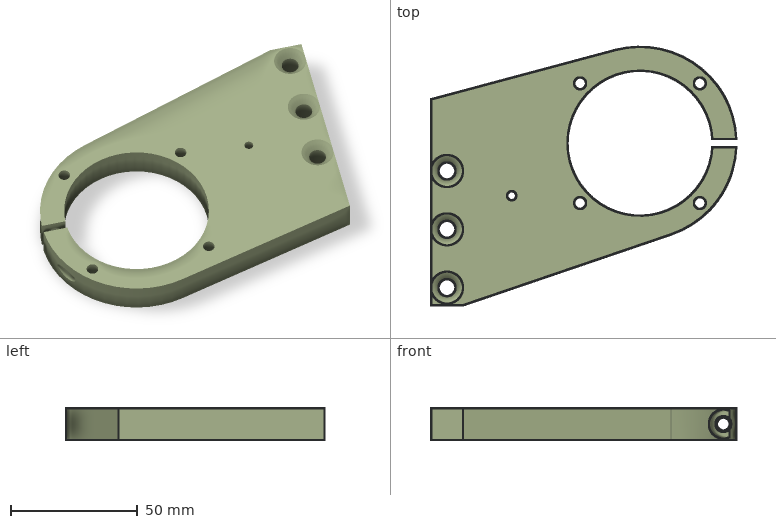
import cadquery as cq
import math

length = 120.5
width = 102.1
thickness = 12.7
ring_radius = 38.1
bore_diameter = 57.1
slot_width = 3.1
ring_x = length - ring_radius
ring_y = width - ring_radius
left_edge_height = 81.4
bottom_edge_length = 12.7

mount_x = 6.3
mount_first_y = 7.0
mount_pitch = 23.0
mount_count = 3
mount_diameter = 6.6
countersink_diameter = 12.7
countersink_angle = 90

pin_x = 31.8
pin_y = 43.3
pin_diameter = 3.5
ring_hole_spacing = 47.3
ring_hole_diameter = 4.6

screw_x = 115.4
screw_z = thickness / 2
screw_head_diameter = 11.5
screw_head_seat_y = 49.5
screw_clearance_diameter = 6.3
screw_thread_diameter = 5.1


def ring_point(angle):
    """Point on the outer ring at an angle in radians from +X."""
    return (ring_x + ring_radius * math.cos(angle), ring_y + ring_radius * math.sin(angle))


def tangent_angle(point, side):
    """Ring angle where a line from the point touches it; side picks one of the two tangents."""
    dx = point[0] - ring_x
    dy = point[1] - ring_y
    return math.atan2(dy, dx) + side * math.acos(ring_radius / math.hypot(dx, dy))


def make_plate():
    """Plate with two straight edges running tangentially into the ring."""
    lower_corner = (bottom_edge_length, 0)
    upper_corner = (0, left_edge_height)
    return (
        cq.Workplane("XY")
        .moveTo(0, 0)
        .lineTo(*lower_corner)
        .lineTo(*ring_point(tangent_angle(lower_corner, 1)))
        .threePointArc(ring_point(0), ring_point(tangent_angle(upper_corner, -1)))
        .lineTo(*upper_corner)
        .close()
        .extrude(thickness)
    )


def cut_clamp_opening(body):
    """Cut the bore and the slot that splits the ring on its +X side."""
    bore = cq.Workplane("XY").center(ring_x, ring_y).circle(bore_diameter / 2).extrude(thickness)
    slot = (
        cq.Workplane("XY")
        .center(ring_x + ring_radius / 2, ring_y)
        .rect(ring_radius, slot_width)
        .extrude(thickness)
    )
    return body.cut(bore).cut(slot)


def cut_vertical_holes(body):
    """Cut the countersunk row, the pin hole and the square of ring holes."""
    top = cq.Workplane("XY", origin=(0, 0, thickness))
    mount_points = [(mount_x, mount_first_y + i * mount_pitch) for i in range(mount_count)]
    body = body.copyWorkplane(top).pushPoints(mount_points).cskHole(
        mount_diameter, countersink_diameter, countersink_angle
    )
    body = body.copyWorkplane(top).pushPoints([(pin_x, pin_y)]).hole(pin_diameter)
    return (
        body.copyWorkplane(top)
        .center(ring_x, ring_y)
        .rect(ring_hole_spacing, ring_hole_spacing, forConstruction=True)
        .vertices()
        .hole(ring_hole_diameter)
    )


def screw_cylinder(diameter, start_y, end_y):
    """Cylinder on the clamp screw axis between two Y positions."""
    return cq.Workplane("XZ", origin=(screw_x, start_y, screw_z)).circle(diameter / 2).extrude(start_y - end_y)


def cut_clamp_screw(body):
    """Cut the head seat, the clearance hole up to the slot and the thread hole beyond it."""
    head = screw_cylinder(screw_head_diameter, 0, screw_head_seat_y)
    clearance = screw_cylinder(screw_clearance_diameter, 0, ring_y)
    thread = screw_cylinder(screw_thread_diameter, ring_y, width)
    return body.cut(head).cut(clearance).cut(thread)


result = cut_clamp_screw(cut_vertical_holes(cut_clamp_opening(make_plate())))